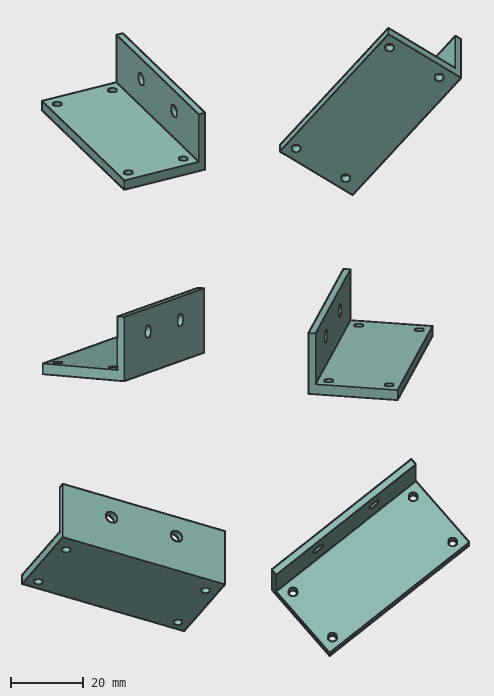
import cadquery as cq

length = 50.0
depth = 25.0
height = 18.0
base_thickness = 3.0
wall_thickness = 2.0

base_hole_diameter = 2.5
base_hole_end_margin = 3.5
base_hole_front_margin = 3.0
base_hole_spacing_y = 17.0

wall_hole_diameter = 3.5
wall_hole_spacing = 20.0
wall_hole_height = 11.5


def make_angle():
    """L-shaped section extruded along X, with the wall along the rear edge."""
    base = cq.Workplane("XY").box(length, depth, base_thickness, centered=False)
    wall = (
        cq.Workplane("XY")
        .box(length, wall_thickness, height, centered=False)
        .translate((0, depth - wall_thickness, 0))
    )
    return base.union(wall)


def make_base_holes():
    """Vertical cutters for the four base holes."""
    left = base_hole_end_margin
    right = length - base_hole_end_margin
    front = base_hole_front_margin
    rear = front + base_hole_spacing_y
    return (
        cq.Workplane("XY")
        .pushPoints([(x, y) for x in (left, right) for y in (front, rear)])
        .circle(base_hole_diameter / 2)
        .extrude(base_thickness)
    )


def make_wall_holes():
    """Horizontal cutters for the two wall holes, centred along the length."""
    left = (length - wall_hole_spacing) / 2
    right = left + wall_hole_spacing
    return (
        cq.Workplane("XZ")
        .pushPoints([(x, wall_hole_height) for x in (left, right)])
        .circle(wall_hole_diameter / 2)
        .extrude(-depth)
    )


result = make_angle().cut(make_base_holes()).cut(make_wall_holes())